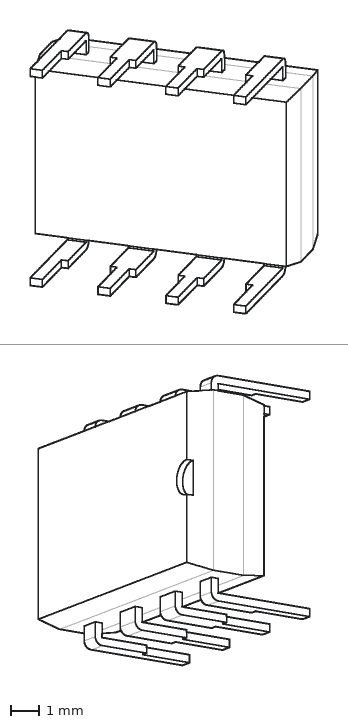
import cadquery as cq

BODY_LENGTH = 9.78
BODY_HEIGHT = 6.59
TAPER_DEPTH = 1.01
BAND_DEPTH = 1.28
TAPER_INSET = 0.18
BODY_DEPTH = BAND_DEPTH + 2 * TAPER_DEPTH

NOTCH_DIAMETER = 1.27
NOTCH_DEPTH = 0.25

LEAD_PITCH = 2.54
LEADS_PER_ROW = 4
LEAD_THICKNESS = 0.29
LEG_WIDTH = 0.46
SHOULDER_WIDTH = 0.96
OVERALL_HEIGHT = 8.23
OVERALL_DEPTH = 5.68
LEG_LENGTH = 2.0
BEND_RADIUS = LEAD_THICKNESS

BACK_Y = BODY_DEPTH / 2
TIP_Y = BACK_Y - OVERALL_DEPTH
SHOULDER_END_Y = TIP_Y + LEG_LENGTH
BODY_TOP_Z = BODY_HEIGHT / 2
LEAD_TOP_Z = OVERALL_HEIGHT / 2


def tapered_half(direction):
    """Tapered part of the body on the +Y (direction 1) or -Y (direction -1) side."""
    return (
        cq.Workplane("XZ", origin=(0, direction * BAND_DEPTH / 2, 0))
        .rect(BODY_LENGTH, BODY_HEIGHT)
        .workplane(offset=-direction * TAPER_DEPTH)
        .rect(BODY_LENGTH - 2 * TAPER_INSET, BODY_HEIGHT - 2 * TAPER_INSET)
        .loft(ruled=True)
    )


def make_body():
    """Package body with its round notch centred on the -X edge of the back face."""
    band = cq.Workplane("XY").box(BODY_LENGTH, BAND_DEPTH, BODY_HEIGHT)
    block = band.union(tapered_half(1)).union(tapered_half(-1))
    notch = (
        cq.Workplane("XZ", origin=(-BODY_LENGTH / 2 + TAPER_INSET, BACK_Y, 0))
        .circle(NOTCH_DIAMETER / 2)
        .extrude(NOTCH_DEPTH)
    )
    return block.cut(notch).solids().val()


def make_lead(leg_x, shoulder_left, shoulder_right):
    """Upper lead whose narrow leg is centred at leg_x and whose shoulder spans the given X range."""
    back_y = LEAD_THICKNESS / 2
    front_y = back_y - LEAD_THICKNESS
    lead_bottom_z = LEAD_TOP_Z - LEAD_THICKNESS
    shoulder = (
        cq.Workplane("YZ", origin=(shoulder_left, 0, 0))
        .moveTo(front_y, BODY_TOP_Z)
        .lineTo(back_y, BODY_TOP_Z)
        .lineTo(back_y, LEAD_TOP_Z - BEND_RADIUS)
        .radiusArc((back_y - BEND_RADIUS, LEAD_TOP_Z), -BEND_RADIUS)
        .lineTo(SHOULDER_END_Y, LEAD_TOP_Z)
        .lineTo(SHOULDER_END_Y, lead_bottom_z)
        .lineTo(front_y, lead_bottom_z)
        .close()
        .extrude(shoulder_right - shoulder_left)
    )
    leg = (
        cq.Workplane("XY", origin=(leg_x, TIP_Y, lead_bottom_z))
        .box(LEG_WIDTH, LEG_LENGTH, LEAD_THICKNESS, centered=(True, False, False))
    )
    return shoulder.union(leg).solids().val()


def make_leads():
    """Both rows of leads; the end leads have no shoulder on their outer side."""
    leads = []
    for index in range(LEADS_PER_ROW):
        leg_x = (index - (LEADS_PER_ROW - 1) / 2) * LEAD_PITCH
        is_first = index == 0
        is_last = index == LEADS_PER_ROW - 1
        shoulder_left = leg_x - (LEG_WIDTH if is_first else SHOULDER_WIDTH) / 2
        shoulder_right = leg_x + (LEG_WIDTH if is_last else SHOULDER_WIDTH) / 2
        upper_lead = make_lead(leg_x, shoulder_left, shoulder_right)
        leads.append(upper_lead)
        leads.append(upper_lead.mirror("XY"))
    return leads


body = make_body()
leads = make_leads()

result = cq.Compound.makeCompound([body, *leads])